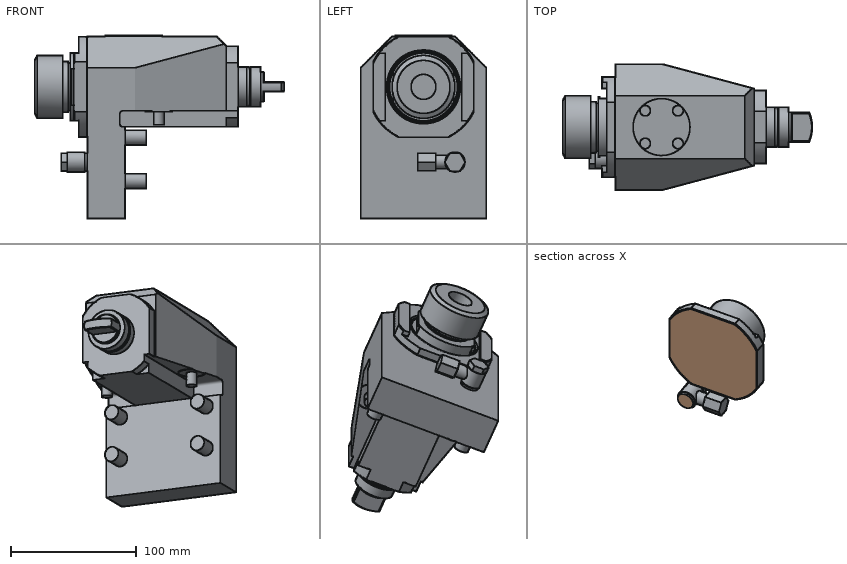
import cadquery as cq
import math


BODY_WIDTH = 100.0
BODY_TOP = 40.1
BODY_BOTTOM = -31.8
PLATE_BOTTOM = -104.8
PLATE_THICKNESS = 30.0
TOP_CHAMFER = 25.0
TAPER_START = 37.7
BODY_END = 110.5
END_WIDTH = 61.1
END_CHAMFER = 7.7

RELIEF_TOP = -19.0
RELIEF_START = 25.8
RELIEF_CORNER = 2.4
KEEL_WIDTH = 49.2

COVER_X = 36.7
COVER_RADIUS = 22.6
COVER_HEIGHT = 0.8
COVER_SCREW_RADIUS = 4.2
COVER_SCREW_SPACING = 26.0
COVER_SCREW_DEPTH = 0.4

FLANGE_FACE = -7.0
FLANGE_RADIUS = 44.7
FLANGE_SIZE = 80.0
FLANGE_GAP = 0.5
FLANGE_GAP_INSET = 0.5
FLANGE_RECESS_RADIUS = 28.2
FLANGE_RECESS_DEPTH = 3.0
FLANGE_RECESS_CHAMFER = 1.2
LUG_FACE = -10.7
LUG_INNER_Y = 30.5
LUG_HEIGHT = 53.6
LUG_CHAMFER = 0.5

COLLAR_FRONT = -13.7
COLLAR_RADIUS = 27.0
COLLAR_LIP = 1.2
COLLAR_LIP_FLATS = 48.0
COLLAR_FLATS = 45.7
COLLAR_FLATS_END = -6.2
NECK_RADIUS = 20.2
NECK_FRONT = -15.3
NECK_GROOVE_RADIUS = 19.0
NUT_FRONT = -41.9
NUT_BACK = -19.5
NUT_RADIUS = 25.0
NUT_CHAMFER_LENGTH = 2.0
NUT_CHAMFER_DEPTH = 4.0
NUT_BORE_RADIUS = 10.0

REAR_FLANGE_END = 120.0
REAR_FLANGE_RADIUS = 34.7
REAR_FLANGE_WIDTH = 58.2

SHAFT_RADIUS = 15.9
SHAFT_END = 137.8
SHAFT_GROOVE_START = 126.9
SHAFT_GROOVE_WIDTH = 3.0
SHAFT_GROOVE_DEPTH = 1.5
SEAL_RADIUS = 1.2
SEAL_OFFSET = 1.0
TANG_RADIUS = 12.0
TANG_SHOULDER_END = 140.5
TANG_SIDE_END = 154.0
TANG_TIP = 156.6
TANG_THICKNESS = 7.7
TANG_CHAMFER = 0.5

DOWEL_RADIUS = 6.0
DOWEL_END = 46.9
DOWEL_Y = 37.5
DOWEL_HEIGHTS = (-40.3, -74.8)

PIN_X = 56.8
PIN_Y = 37.1
PIN_RADIUS = 4.2
PIN_BOTTOM = -30.0
PIN_SEAT_RADIUS = 10.7
PIN_SEAT_HEIGHT = 0.5

ELBOW_Y = -25.0
ELBOW_Z = -59.8
ELBOW_RADIUS = 8.0
ELBOW_FRONT = -16.0
ELBOW_BACK = -2.2
ELBOW_NECK_RADIUS = 7.1
ELBOW_HEX_FRONT = -20.8
ELBOW_HEX_FLATS = 14.3
BRANCH_X = -9.1
BRANCH_RADIUS = 5.4
BRANCH_HEX_START = -10.0
BRANCH_HEX_END = 4.8
BRANCH_HEX_FLATS = 13.9


def block(x_range, y_range, z_range):
    """Box spanning the three given (low, high) ranges."""
    sizes = [high - low for low, high in (x_range, y_range, z_range)]
    return cq.Workplane().box(*sizes, centered=False).translate((x_range[0], y_range[0], z_range[0]))


def rod_x(radius, x_start, x_end, y=0, z=0):
    """Cylinder parallel to X."""
    return cq.Workplane("YZ", origin=(x_start, y, z)).circle(radius).extrude(x_end - x_start)


def rod_z(radius, z_start, z_end, x, y):
    """Cylinder parallel to Z."""
    return cq.Workplane(origin=(x, y, z_start)).circle(radius).extrude(z_end - z_start)


def hexagon(flats):
    """Corner points of a hexagon with flats above and below its centre."""
    corner = flats / math.sqrt(3)
    angles = [math.radians(60 * i) for i in range(6)]
    return [(corner * math.cos(a), corner * math.sin(a)) for a in angles]


def make_body():
    half = BODY_WIDTH / 2
    top_half = half - TOP_CHAMFER
    shoulder = BODY_TOP - TOP_CHAMFER
    section = [
        (-half, PLATE_BOTTOM),
        (half, PLATE_BOTTOM),
        (half, shoulder),
        (top_half, BODY_TOP),
        (-top_half, BODY_TOP),
        (-half, shoulder),
    ]
    side = [
        (0, PLATE_BOTTOM),
        (PLATE_THICKNESS, PLATE_BOTTOM),
        (PLATE_THICKNESS, BODY_BOTTOM),
        (BODY_END, BODY_BOTTOM),
        (BODY_END, BODY_TOP - END_CHAMFER),
        (BODY_END - END_CHAMFER, BODY_TOP),
        (0, BODY_TOP),
    ]
    plan = [
        (0, -half),
        (TAPER_START, -half),
        (BODY_END, -END_WIDTH / 2),
        (BODY_END, END_WIDTH / 2),
        (TAPER_START, half),
        (0, half),
    ]
    body = cq.Workplane("YZ").polyline(section).close().extrude(BODY_END)
    body = body.intersect(cq.Workplane("XZ").polyline(side).close().extrude(half, both=True))
    height = BODY_TOP - PLATE_BOTTOM
    return body.intersect(cq.Workplane(origin=(0, 0, PLATE_BOTTOM)).polyline(plan).close().extrude(height))


def make_rear_flange():
    flange = rod_x(REAR_FLANGE_RADIUS, BODY_END, REAR_FLANGE_END)
    half = REAR_FLANGE_WIDTH / 2
    limits = block((BODY_END, REAR_FLANGE_END), (-half, half), (BODY_BOTTOM, BODY_TOP - END_CHAMFER))
    return flange.intersect(limits)


def make_relief(side):
    """Cutter for the relief along one lower side, leaving a shallow round seat for the pin."""
    inner = KEEL_WIDTH / 2
    relief = block((RELIEF_START, REAR_FLANGE_END), (inner, BODY_WIDTH / 2), (BODY_BOTTOM, RELIEF_TOP))
    relief = relief.edges("<X and |Y").fillet(RELIEF_CORNER)
    seat = rod_z(PIN_SEAT_RADIUS, RELIEF_TOP - PIN_SEAT_HEIGHT, RELIEF_TOP, PIN_X, PIN_Y)
    relief = relief.cut(seat)
    return relief if side > 0 else relief.mirror("XZ")


def add_cover(part):
    top = BODY_TOP + COVER_HEIGHT
    part = part.union(rod_z(COVER_RADIUS, BODY_TOP, top, COVER_X, 0))
    offset = COVER_SCREW_SPACING / 2
    for dx in (-offset, offset):
        for y in (-offset, offset):
            part = part.cut(rod_z(COVER_SCREW_RADIUS, top - COVER_SCREW_DEPTH, top, COVER_X + dx, y))
    return part


def flange_slab(x_start, x_end, inset=0):
    """Disc trimmed to a square, the outline of the front flange."""
    half = FLANGE_SIZE / 2 - inset
    square = block((x_start, x_end), (-half, half), (-half, half))
    return rod_x(FLANGE_RADIUS - inset, x_start, x_end).intersect(square)


def make_front_flange():
    flange = flange_slab(FLANGE_FACE, -FLANGE_GAP)
    flange = flange.union(flange_slab(-FLANGE_GAP, 0, FLANGE_GAP_INSET))
    flange = flange.cut(rod_x(FLANGE_RECESS_RADIUS, FLANGE_FACE, FLANGE_FACE + FLANGE_RECESS_DEPTH))
    mouth = cq.Workplane("YZ", origin=(FLANGE_FACE, 0, 0))
    mouth = mouth.circle(FLANGE_RECESS_RADIUS + FLANGE_RECESS_CHAMFER).extrude(FLANGE_RECESS_CHAMFER, taper=45)
    flange = flange.cut(mouth)

    lug_half = LUG_HEIGHT / 2
    lugs = flange_slab(LUG_FACE, FLANGE_FACE).intersect(
        block((LUG_FACE, FLANGE_FACE), (-FLANGE_SIZE, FLANGE_SIZE), (-lug_half, lug_half))
    )
    lugs = lugs.cut(
        block((LUG_FACE, FLANGE_FACE), (-LUG_INNER_Y, LUG_INNER_Y), (-lug_half, lug_half))
    )
    lugs = lugs.faces("<X").edges("%CIRCLE").chamfer(LUG_CHAMFER)
    return flange.union(lugs)


def flatted_collar(x_start, x_end, flats):
    limits = block((x_start, x_end), (-flats / 2, flats / 2), (-COLLAR_RADIUS, COLLAR_RADIUS))
    return rod_x(COLLAR_RADIUS, x_start, x_end).intersect(limits)


def make_spindle():
    lip_end = COLLAR_FRONT + COLLAR_LIP
    nose = flatted_collar(COLLAR_FRONT, lip_end, COLLAR_LIP_FLATS)
    nose = nose.union(flatted_collar(lip_end, COLLAR_FLATS_END, COLLAR_FLATS))
    nose = nose.union(rod_x(COLLAR_RADIUS, COLLAR_FLATS_END, 0))
    nose = nose.union(rod_x(NECK_GROOVE_RADIUS, NECK_FRONT, COLLAR_FRONT))
    nose = nose.union(rod_x(NECK_RADIUS, NUT_BACK, NECK_FRONT))
    nut = rod_x(NUT_RADIUS, NUT_FRONT, NUT_BACK)
    nut = nut.faces("<X").chamfer(NUT_CHAMFER_LENGTH, NUT_CHAMFER_DEPTH)
    bore = rod_x(NUT_BORE_RADIUS, NUT_FRONT, NUT_BACK)
    return nose.union(nut).cut(bore)


def make_drive_shaft():
    groove_end = SHAFT_GROOVE_START + SHAFT_GROOVE_WIDTH
    shaft = rod_x(SHAFT_RADIUS, BODY_END, SHAFT_GROOVE_START)
    shaft = shaft.union(rod_x(SHAFT_RADIUS - SHAFT_GROOVE_DEPTH, SHAFT_GROOVE_START, groove_end))
    shaft = shaft.union(rod_x(SHAFT_RADIUS, groove_end, SHAFT_END))
    ring_radius = SHAFT_RADIUS - SEAL_RADIUS
    seal = cq.Solid.makeTorus(
        ring_radius,
        SEAL_RADIUS,
        cq.Vector(SHAFT_GROOVE_START + SEAL_OFFSET, 0, 0),
        cq.Vector(1, 0, 0),
    )
    shaft = shaft.union(cq.Workplane(seal))
    shoulder = rod_x(TANG_RADIUS, SHAFT_END, TANG_SHOULDER_END).faces(">X").chamfer(TANG_CHAMFER)
    shaft = shaft.union(shoulder)
    blade = cq.Workplane(origin=(0, 0, -TANG_THICKNESS / 2)).moveTo(SHAFT_END, -TANG_RADIUS)
    blade = blade.lineTo(TANG_SIDE_END, -TANG_RADIUS)
    blade = blade.threePointArc((TANG_TIP, 0), (TANG_SIDE_END, TANG_RADIUS))
    blade = blade.lineTo(SHAFT_END, TANG_RADIUS).close().extrude(TANG_THICKNESS)
    tang = blade.intersect(rod_x(TANG_RADIUS, SHAFT_END, TANG_TIP))
    tang = tang.faces("|Z").chamfer(TANG_CHAMFER)
    return shaft.union(tang)


def make_elbow():
    outlet = rod_x(ELBOW_NECK_RADIUS, ELBOW_BACK, 0, ELBOW_Y, ELBOW_Z)
    outlet = outlet.union(rod_x(ELBOW_RADIUS, ELBOW_FRONT, ELBOW_BACK, ELBOW_Y, ELBOW_Z))
    head = cq.Workplane("YZ", origin=(ELBOW_HEX_FRONT, ELBOW_Y, ELBOW_Z))
    head = head.polyline(hexagon(ELBOW_HEX_FLATS)).close().extrude(ELBOW_FRONT - ELBOW_HEX_FRONT)
    branch = cq.Workplane("XZ", origin=(BRANCH_X, ELBOW_Y, ELBOW_Z))
    branch = branch.circle(BRANCH_RADIUS).extrude(ELBOW_Y - BRANCH_HEX_START)
    nut = cq.Workplane("XZ", origin=(BRANCH_X, BRANCH_HEX_START, ELBOW_Z))
    nut = nut.polyline(hexagon(BRANCH_HEX_FLATS)).close().extrude(BRANCH_HEX_START - BRANCH_HEX_END)
    return outlet.union(head).union(branch).union(nut)


result = make_body().union(make_rear_flange())
for side in (-1, 1):
    result = result.cut(make_relief(side))
    for dowel_z in DOWEL_HEIGHTS:
        result = result.union(rod_x(DOWEL_RADIUS, PLATE_THICKNESS, DOWEL_END, side * DOWEL_Y, dowel_z))
    result = result.union(rod_z(PIN_RADIUS, PIN_BOTTOM, RELIEF_TOP, PIN_X, side * PIN_Y))
result = add_cover(result)
for feature in (make_front_flange(), make_spindle(), make_drive_shaft(), make_elbow()):
    result = result.union(feature)